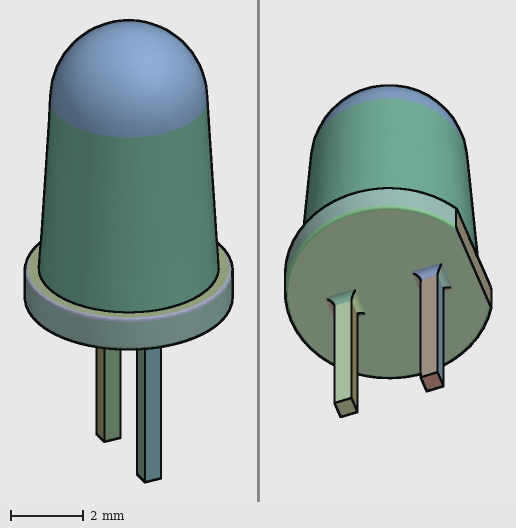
import cadquery as cq

total_height = 13.6

lead_length = 5.0
lead_width = 0.5
lead_pitch = 2.55
lead_root_fillet = 0.2

flange_diameter = 5.8
flange_thickness = 1.0
flange_edge_fillet = 0.1
flange_radius = flange_diameter / 2

lens_base_radius = 2.5
dome_radius = 2.19
flange_top = lead_length + flange_thickness
dome_start = total_height - dome_radius

flat_x = -lens_base_radius


def make_flange():
    """Round disc with softened rims, trimmed by a sharp-edged flat on -X."""
    disc = (
        cq.Workplane("XY", origin=(0, 0, lead_length))
        .circle(flange_radius)
        .extrude(flange_thickness)
        .edges("%CIRCLE")
        .fillet(flange_edge_fillet)
    )
    kept_side = cq.Workplane("XY", origin=(flat_x, 0, lead_length)).box(
        flange_radius - flat_x,
        flange_diameter,
        flange_thickness,
        centered=(False, True, False),
    )
    return disc.intersect(kept_side)


def make_lens():
    """Tapered body and dome, revolved about Z and resting on the flange."""
    dome_mid = dome_radius * 0.5**0.5
    return (
        cq.Workplane("XZ")
        .moveTo(0, flange_top)
        .lineTo(lens_base_radius, flange_top)
        .lineTo(dome_radius, dome_start)
        .threePointArc((dome_mid, dome_start + dome_mid), (0, total_height))
        .close()
        .revolve(360, (0, 0, 0), (0, 1, 0))
    )


def make_leads():
    """Pair of square pins along X, reaching up to the flange's underside."""
    return (
        cq.Workplane("XY")
        .pushPoints([(-lead_pitch / 2, 0), (lead_pitch / 2, 0)])
        .rect(lead_width, lead_width)
        .extrude(lead_length)
    )


selection_margin = 0.01

base = make_flange().union(make_leads())
root_half_width = (lead_pitch + lead_width) / 2
root_edges = cq.selectors.BoxSelector(
    (-root_half_width - selection_margin, -lead_width, lead_length - selection_margin),
    (root_half_width + selection_margin, lead_width, lead_length + selection_margin),
)
base = base.edges(root_edges).fillet(lead_root_fillet)

result = base.union(make_lens())